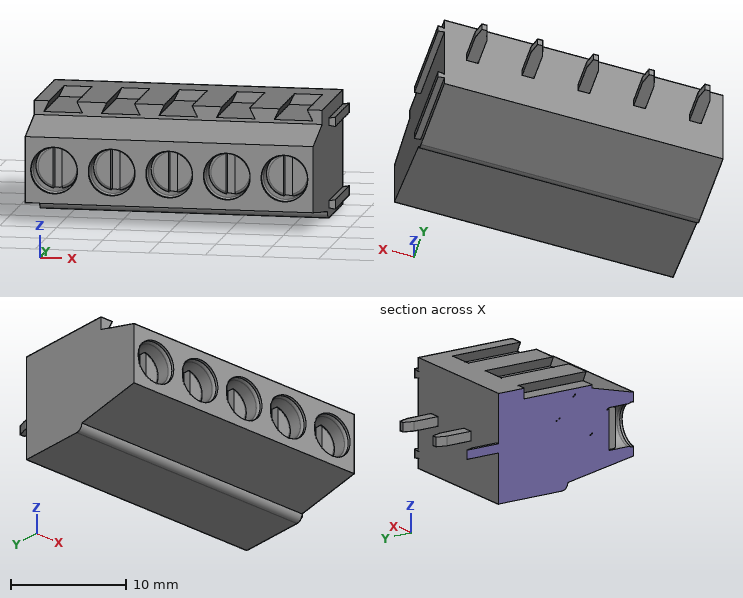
import cadquery as cq
import math

pole_count = 5
total_length = 25.97
rib_projection = 0.57
housing_length = total_length - rib_projection
pole_pitch = housing_length / pole_count
housing_height = 10.1
total_depth = 17.6
pin_length = 3.45
housing_depth = total_depth - pin_length

screw_face_bottom = 1.87
screw_face_top = 7.71
top_step_depth = 4.34
top_step_bottom = 8.85
foot_front = 6.85
foot_radius = 0.68

recess_top_width = 2.45
recess_floor_width = 3.38
recess_drop = 0.95
recess_back = housing_depth - 2.7

mouth_diameter = 4.1
mouth_depth = 0.25
bore_diameter = 3.9
bore_start = 0.62
screw_head_depth = 1.8
screw_head_rounding = 0.23
slot_width = 0.8
slot_depth = 0.78
screw_height = (screw_face_bottom + screw_face_top) / 2

pin_width = 1.06
pin_thickness = 0.88
pin_tip_width = 0.47
pin_taper_length = 0.95
pin_height = 5.1

rib_root_width = 0.62
rib_outer_width = 0.83
rib_length = 6.7
rib_heights = (1.22, 8.52)

pole_positions = [(index + 0.5) * pole_pitch for index in range(pole_count)]


def make_housing():
    """Side profile extruded along the row, with the foot's front edge fully rounded."""
    diagonal = math.sqrt(0.5) * foot_radius
    foot_arc_middle = (foot_front + foot_radius - diagonal, foot_radius - diagonal)
    return (
        cq.Workplane("YZ")
        .moveTo(0, screw_face_bottom)
        .lineTo(0, screw_face_top)
        .lineTo(top_step_depth, top_step_bottom)
        .lineTo(top_step_depth, housing_height)
        .lineTo(housing_depth, housing_height)
        .lineTo(housing_depth, 0)
        .lineTo(foot_front + foot_radius, 0)
        .threePointArc(foot_arc_middle, (foot_front, foot_radius))
        .close()
        .extrude(housing_length)
    )


def make_recess(x):
    """Dovetail cutter that is narrower at the top face than at its floor."""
    floor = housing_height - recess_drop
    outline = [
        (x - recess_floor_width / 2, floor),
        (x + recess_floor_width / 2, floor),
        (x + recess_top_width / 2, housing_height),
        (x - recess_top_width / 2, housing_height),
    ]
    return cq.Workplane("XZ").polyline(outline).close().extrude(-recess_back)


def make_screw_opening(x):
    """Mouth narrowing to a bore that ends on a round-edged screw head with a driver slot."""
    bore_radius = bore_diameter / 2
    head_flat_radius = bore_radius - screw_head_rounding
    rounding_end = screw_head_depth + screw_head_rounding
    slot_end = screw_head_depth + slot_depth
    diagonal = math.sqrt(0.5) * screw_head_rounding
    head_arc_middle = (head_flat_radius + diagonal, rounding_end - diagonal)

    lead_in_rise = mouth_diameter / 2 - bore_radius
    lead_in_run = bore_start - mouth_depth
    lead_in_radius = (lead_in_rise**2 + lead_in_run**2) / (2 * lead_in_rise)
    half_angle = math.asin(lead_in_run / lead_in_radius) / 2
    lead_in_middle = (
        bore_radius + lead_in_radius * (1 - math.cos(half_angle)),
        bore_start - lead_in_radius * math.sin(half_angle),
    )

    opening = (
        cq.Workplane("XY")
        .lineTo(mouth_diameter / 2, 0)
        .lineTo(mouth_diameter / 2, mouth_depth)
        .threePointArc(lead_in_middle, (bore_radius, bore_start))
        .lineTo(bore_radius, rounding_end)
        .threePointArc(head_arc_middle, (head_flat_radius, screw_head_depth))
        .lineTo(0, screw_head_depth)
        .close()
        .revolve(360, (0, 0), (0, 1))
    )
    slot_limit = cq.Workplane("XZ").circle(bore_radius).extrude(-slot_end)
    slot = cq.Workplane("XZ").rect(slot_width, bore_diameter).extrude(-slot_end)
    return opening.union(slot.intersect(slot_limit)).translate((x, 0, screw_height))


def make_pin(x):
    """Flat pin that tapers to a blunt tip."""
    taper_start = total_depth - pin_taper_length
    outline = [
        (x - pin_width / 2, housing_depth),
        (x - pin_width / 2, taper_start),
        (x - pin_tip_width / 2, total_depth),
        (x + pin_tip_width / 2, total_depth),
        (x + pin_width / 2, taper_start),
        (x + pin_width / 2, housing_depth),
    ]
    pin = cq.Workplane("XY").polyline(outline).close().extrude(pin_thickness)
    return pin.translate((0, 0, pin_height - pin_thickness / 2))


def make_rib(z):
    """Dovetail rib that widens away from the housing and ends flush with its back."""
    outline = [
        (housing_length, z - rib_root_width / 2),
        (total_length, z - rib_outer_width / 2),
        (total_length, z + rib_outer_width / 2),
        (housing_length, z + rib_root_width / 2),
    ]
    rib = cq.Workplane("XZ").polyline(outline).close().extrude(-rib_length)
    return rib.translate((0, housing_depth - rib_length, 0))


result = make_housing()
for pole_x in pole_positions:
    result = result.cut(make_recess(pole_x))
    result = result.cut(make_screw_opening(pole_x))
    result = result.union(make_pin(pole_x))
for rib_z in rib_heights:
    result = result.union(make_rib(rib_z))